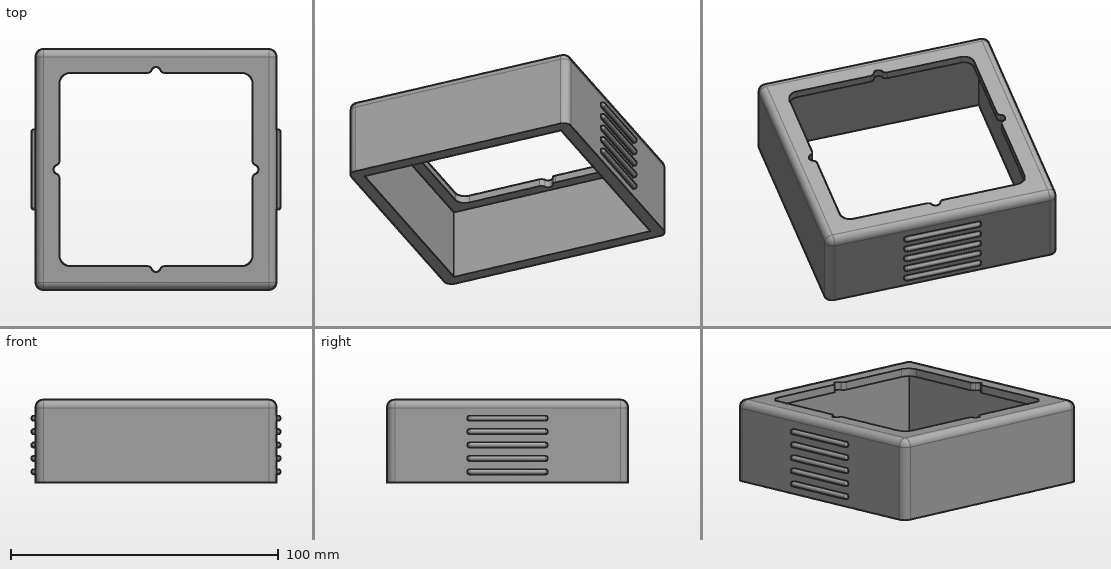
import cadquery as cq
import math

side = 90.0
height = 31.0
edge_radius = 3.0
wall = 4.75
lip_thickness = 3.0

window = 72.0
window_corner_radius = 4.0
notch_depth = 2.2
notch_radius = 1.75
notch_foot_radius = 1.75

rib_radius = 1.0
rib_protrusion = 1.5
rib_straight = 28.0
rib_count = 5
rib_pitch = 5.0
lowest_rib_z = 4.0


def make_housing():
    body = cq.Workplane("XY").box(side, side, height, centered=(True, True, False))
    body = body.edges("|Z or >Z").fillet(edge_radius)
    cavity_side = side - 2 * wall
    cavity_height = height - lip_thickness
    cavity = cq.Workplane("XY").box(cavity_side, cavity_side, cavity_height, centered=(True, True, False))
    return body.cut(cavity)


def make_notch():
    """Notch in the +X window edge: a round tip that flares into the edge through two foot arcs."""
    window_edge = window / 2
    tip_x = window_edge + notch_depth
    tip_center_x = tip_x - notch_radius
    foot_center_x = window_edge + notch_foot_radius
    center_distance = notch_radius + notch_foot_radius
    foot_y = math.sqrt(center_distance**2 - (foot_center_x - tip_center_x) ** 2)
    tip_share = notch_radius / center_distance
    joint_x = tip_center_x + tip_share * (foot_center_x - tip_center_x)
    joint_y = tip_share * foot_y
    inner_x = window_edge - notch_depth
    return (
        cq.Workplane("XY", origin=(0, 0, height - lip_thickness))
        .moveTo(inner_x, -foot_y)
        .lineTo(window_edge, -foot_y)
        .radiusArc((joint_x, -joint_y), notch_foot_radius)
        .threePointArc((tip_x, 0), (joint_x, joint_y))
        .radiusArc((window_edge, foot_y), notch_foot_radius)
        .lineTo(inner_x, foot_y)
        .close()
        .extrude(lip_thickness)
    )


def make_window():
    opening = (
        cq.Workplane("XY", origin=(0, 0, height - lip_thickness))
        .rect(window, window)
        .extrude(lip_thickness)
        .edges("|Z")
        .fillet(window_corner_radius)
    )
    notch = make_notch()
    for quarter in range(4):
        opening = opening.union(notch.rotate((0, 0, 0), (0, 0, 1), 90 * quarter))
    return opening


def make_rib():
    """Rib lying along Y and rising along +X from the plane X = 0."""
    base_height = rib_protrusion - rib_radius
    half_straight = rib_straight / 2
    rib_base = (
        cq.Workplane("YZ")
        .slot2D(rib_straight + 2 * rib_radius, 2 * rib_radius)
        .extrude(base_height)
    )
    crest = (
        cq.Workplane("XY", origin=(base_height, 0, 0))
        .moveTo(0, -half_straight - rib_radius)
        .radiusArc((rib_radius, -half_straight), -rib_radius)
        .lineTo(rib_radius, half_straight)
        .radiusArc((0, half_straight + rib_radius), -rib_radius)
        .close()
        .revolve(180, (0, 0, 0), (0, 1, 0))
        .rotate((base_height, 0, 0), (base_height, 1, 0), -90)
    )
    return rib_base.union(crest)


result = make_housing().cut(make_window())
for rib_index in range(rib_count):
    rib_z = lowest_rib_z + rib_index * rib_pitch
    rib = make_rib().translate((side / 2, 0, rib_z))
    result = result.union(rib).union(rib.mirror("YZ"))